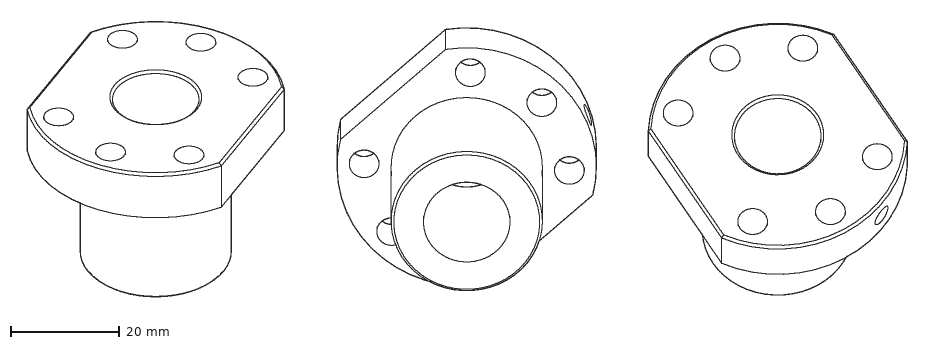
import cadquery as cq
import math

FLANGE_DIAMETER = 48.0
FLANGE_WIDTH = 40.0
FLANGE_THICKNESS = 10.0

TOTAL_HEIGHT = 36.0
BODY_DIAMETER = 28.0
BORE_DIAMETER = 16.0
EDGE_CHAMFER = 0.5

MOUNT_HOLE_DIAMETER = 5.5
MOUNT_CIRCLE_DIAMETER = 38.0
MOUNT_HOLE_SPACING = 45.0
HOLES_PER_SIDE = 3

OIL_PORT_DIAMETER = 4.0
OIL_PORT_DEPTH = 10.0
OIL_PORT_ANGLE = 90.0 + MOUNT_HOLE_SPACING / 2

FLANGE_BOTTOM = TOTAL_HEIGHT - FLANGE_THICKNESS
FLANGE_MIDDLE = TOTAL_HEIGHT - FLANGE_THICKNESS / 2


def direction(angle):
    """Unit vector in the XY plane at an angle in degrees from +X."""
    return cq.Vector(math.cos(math.radians(angle)), math.sin(math.radians(angle)), 0)


def make_flange():
    """Disc trimmed by the two flats, chamfered around its top edge."""
    base = cq.Workplane("XY", origin=(0, 0, FLANGE_BOTTOM))
    disc = base.circle(FLANGE_DIAMETER / 2).extrude(FLANGE_THICKNESS)
    slab = base.rect(FLANGE_WIDTH, FLANGE_DIAMETER).extrude(FLANGE_THICKNESS)
    return disc.intersect(slab).faces(">Z").edges().chamfer(EDGE_CHAMFER)


def make_body():
    """Cylinder from the base up to the flange, chamfered around its lower edge."""
    body = cq.Workplane("XY").circle(BODY_DIAMETER / 2).extrude(FLANGE_BOTTOM)
    return body.faces("<Z").edges().chamfer(EDGE_CHAMFER)


def make_bore():
    """Through bore, opened by a chamfer at its flange mouth."""
    bore_radius = BORE_DIAMETER / 2
    mouth_radius = bore_radius + EDGE_CHAMFER
    return (
        cq.Workplane("XZ")
        .moveTo(0, 0)
        .lineTo(bore_radius, 0)
        .lineTo(bore_radius, TOTAL_HEIGHT - EDGE_CHAMFER)
        .lineTo(mouth_radius, TOTAL_HEIGHT)
        .lineTo(0, TOTAL_HEIGHT)
        .close()
        .revolve(360, (0, 0, 0), (0, 1, 0))
    )


def make_mount_holes():
    """Groups of mounting holes centred on the +Y and -Y sides of the flange."""
    centres = []
    for side_angle in (90.0, -90.0):
        first_angle = side_angle - MOUNT_HOLE_SPACING * (HOLES_PER_SIDE - 1) / 2
        for index in range(HOLES_PER_SIDE):
            centre = direction(first_angle + index * MOUNT_HOLE_SPACING) * (MOUNT_CIRCLE_DIAMETER / 2)
            centres.append((centre.x, centre.y))
    floor = cq.Workplane("XY", origin=(0, 0, FLANGE_BOTTOM))
    return floor.pushPoints(centres).circle(MOUNT_HOLE_DIAMETER / 2).extrude(FLANGE_THICKNESS)


def make_oil_port():
    """Blind radial hole at mid flange height, drilled inward from the rim."""
    outward = direction(OIL_PORT_ANGLE)
    port_floor = outward * (FLANGE_DIAMETER / 2 - OIL_PORT_DEPTH)
    port_plane = cq.Plane(
        origin=(port_floor.x, port_floor.y, FLANGE_MIDDLE),
        xDir=(0, 0, 1),
        normal=outward,
    )
    return cq.Workplane(port_plane).circle(OIL_PORT_DIAMETER / 2).extrude(OIL_PORT_DEPTH)


result = make_flange().union(make_body())
result = result.cut(make_bore())
result = result.cut(make_mount_holes())
result = result.cut(make_oil_port())